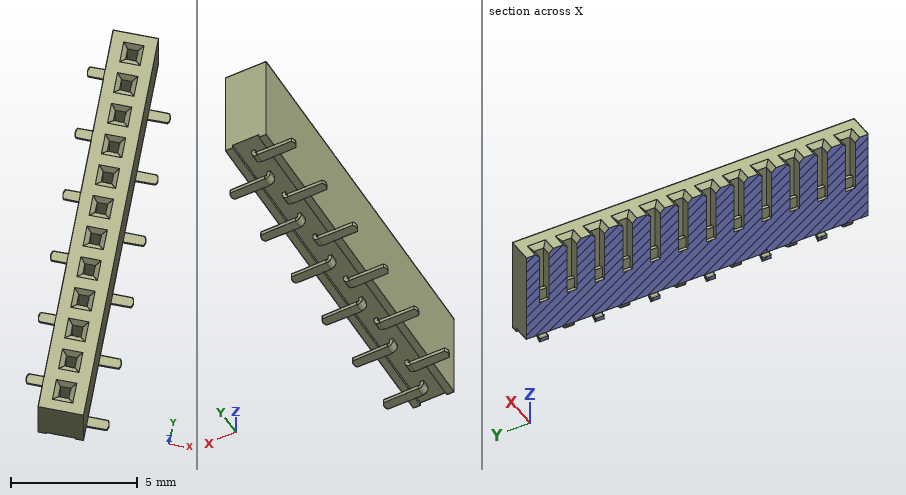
import cadquery as cq

pin_count = 12
pitch = 1.27
end_wall = 0.175
body_width = 1.83
body_length = pin_count * pitch + 2 * end_wall
total_height = 4.53
body_bottom = 0.23
body_height = total_height - body_bottom

channel_width = 1.18
channel_depth = 0.15

mouth_size = 0.82
throat_size = 0.42
funnel_depth = 0.2
socket_depth = 2.5
socket_floor = total_height - socket_depth

foot_span = 3.58
foot_thickness = 0.18
foot_width = 0.41
toe_width = 0.38
blade_thickness = 0.15
blade_width = 0.37
blade_exposed = 0.5
blade_top = socket_floor + blade_exposed
bend_inner_radius = 0.06
bend_outer_radius = 0.24
toe_bulge = 0.07


def make_housing():
    """Rectangular block with a channel along its underside."""
    block = (
        cq.Workplane("XY")
        .workplane(offset=body_bottom)
        .rect(body_width, body_length)
        .extrude(body_height)
    )
    channel = (
        cq.Workplane("XY")
        .workplane(offset=body_bottom)
        .rect(channel_width, body_length)
        .extrude(channel_depth)
    )
    return block.cut(channel)


def make_socket(y):
    """Square funnel mouth leading into a square blind hole."""
    funnel = (
        cq.Workplane("XY", origin=(0, y, total_height))
        .rect(mouth_size, mouth_size)
        .workplane(offset=-funnel_depth)
        .rect(throat_size, throat_size)
        .loft(ruled=True)
    )
    throat = (
        cq.Workplane("XY", origin=(0, y, socket_floor))
        .rect(throat_size, throat_size)
        .extrude(socket_depth - funnel_depth)
    )
    return funnel.union(throat)


def make_contact(y, side):
    """Upright blade bent into a round-ended foot that points to +X (side = 1) or -X (side = -1)."""
    half_blade = blade_thickness / 2
    strip = (
        cq.Workplane("XZ")
        .moveTo(-half_blade, blade_top)
        .lineTo(-half_blade, bend_outer_radius)
        .radiusArc((bend_outer_radius - half_blade, 0), -bend_outer_radius)
        .lineTo(foot_span / 2, 0)
        .lineTo(foot_span / 2, foot_thickness)
        .lineTo(half_blade + bend_inner_radius, foot_thickness)
        .radiusArc((half_blade, foot_thickness + bend_inner_radius), bend_inner_radius)
        .lineTo(half_blade, blade_top)
        .close()
        .extrude(foot_width / 2, both=True)
    )
    foot_start = bend_outer_radius - half_blade
    toe_corner = foot_span / 2 - toe_bulge
    plan_prism = (
        cq.Workplane("XY")
        .moveTo(-half_blade, -blade_width / 2)
        .lineTo(foot_start, -blade_width / 2)
        .lineTo(foot_start, -foot_width / 2)
        .lineTo(toe_corner, -toe_width / 2)
        .threePointArc((foot_span / 2, 0), (toe_corner, toe_width / 2))
        .lineTo(foot_start, foot_width / 2)
        .lineTo(foot_start, blade_width / 2)
        .lineTo(-half_blade, blade_width / 2)
        .close()
        .extrude(blade_top)
    )
    contact = strip.intersect(plan_prism)
    if side < 0:
        contact = contact.mirror("YZ")
    return contact.translate((0, y, 0))


result = make_housing()
for index in range(pin_count):
    pin_y = (index - (pin_count - 1) / 2) * pitch
    foot_side = 1 if index % 2 == 0 else -1
    result = result.cut(make_socket(pin_y)).union(make_contact(pin_y, foot_side))